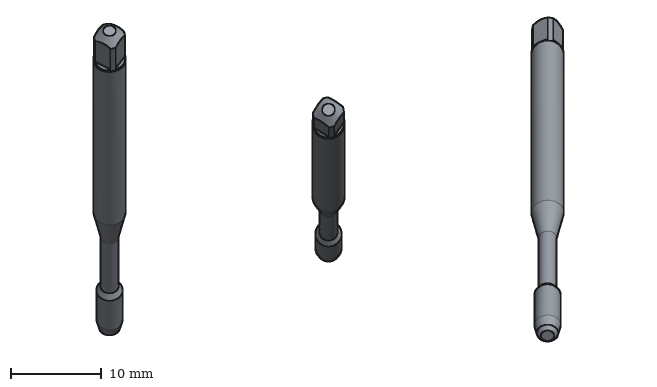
import cadquery as cq

length = 56.1

head_diameter = 2.9
tip_diameter = 1.45
tip_chamfer = 0.45
lead_end_z = 1.85
shoulder_start_z = 7.35
head_top_z = 8.15

neck_diameter = 2.0
neck_top_z = 17.55
shank_diameter = 3.6
shank_start_z = 22.1
shank_top_z = 50.8

drive_diameter = 3.4
across_flats = 2.8
flat_bottom_z = 51.2
end_face_diameter = 1.4

head_radius = head_diameter / 2
tip_radius = tip_diameter / 2
neck_radius = neck_diameter / 2
shank_radius = shank_diameter / 2
drive_radius = drive_diameter / 2
end_face_radius = end_face_diameter / 2
shank_chamfer = shank_radius - drive_radius
end_cone_height = drive_radius - end_face_radius


def revolve_profile(points):
    """Revolve a closed (radius, z) outline about the Z axis."""
    return cq.Workplane("XZ").polyline(points).close().revolve(360, (0, 0), (0, 1))


def make_head():
    """Working head: chamfered tip, tapered lead, cylinder and conical shoulder."""
    return revolve_profile([
        (0, 0),
        (tip_radius, 0),
        (tip_radius + tip_chamfer, tip_chamfer),
        (head_radius, lead_end_z),
        (head_radius, shoulder_start_z),
        (neck_radius, head_top_z),
        (0, head_top_z),
    ])


def make_flat_cutter():
    """Material removed on the +X side to form one flat with its 45 degree runout."""
    flat_offset = across_flats / 2
    outer_x = shank_radius
    runout = outer_x - flat_offset
    return (
        cq.Workplane("XZ")
        .polyline([
            (flat_offset, flat_bottom_z),
            (outer_x, flat_bottom_z - runout),
            (outer_x, length),
            (flat_offset, length),
        ])
        .close()
        .extrude(shank_radius, both=True)
    )


def make_shank():
    """Neck, taper, shank and square drive end."""
    shank = revolve_profile([
        (0, head_top_z),
        (neck_radius, head_top_z),
        (neck_radius, neck_top_z),
        (shank_radius, shank_start_z),
        (shank_radius, shank_top_z),
        (drive_radius, shank_top_z + shank_chamfer),
        (drive_radius, length - end_cone_height),
        (end_face_radius, length),
        (0, length),
    ])
    cutter = make_flat_cutter()
    for angle in (0, 90, 180, 270):
        shank = shank.cut(cutter.rotate((0, 0, 0), (0, 0, 1), angle))
    return shank


head = make_head()
shank = make_shank()

result = cq.Compound.makeCompound([head.val(), shank.val()])